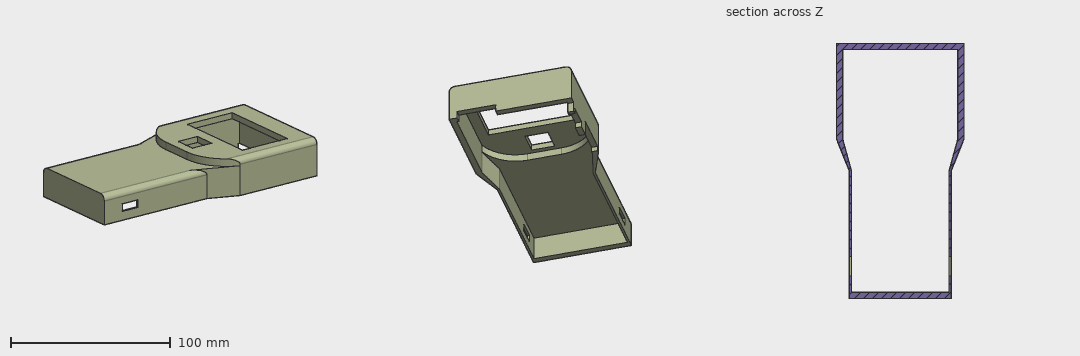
import cadquery as cq
import math

LENGTH = 160.0
HEAD_HALF_WIDTH = 40.0
HANDLE_HALF_WIDTH = 32.0
HEAD_HEIGHT = 25.0
HANDLE_HEIGHT = 20.0
EDGE_RADIUS = 4.0

HEAD_START_Y = 100.0
NECK_Y = 80.0
TAPER_SLOPE = (HEAD_HALF_WIDTH - HANDLE_HALF_WIDTH) / (HEAD_START_Y - NECK_Y)
NECK_END_HALF_WIDTH = HANDLE_HALF_WIDTH - EDGE_RADIUS
NECK_END_Y = NECK_Y - EDGE_RADIUS / TAPER_SLOPE

NOSE_HALF_WIDTH = 11.2
NOSE_DEPTH = HEAD_START_Y - NECK_Y
ARC_SPAN = HEAD_HALF_WIDTH - NOSE_HALF_WIDTH
ARC_RADIUS = (ARC_SPAN**2 + NOSE_DEPTH**2) / (2 * NOSE_DEPTH)
ARC_CENTER_Y = NECK_Y + ARC_RADIUS

WALL = 4.0
HANDLE_SIDE_WALL = 1.5

SCREEN_WIDTH = 58.0
SCREEN_LENGTH = 35.0
SCREEN_START_Y = 110.0
BUTTON_SIZE = 15.0
BUTTON_START_Y = 87.0

SLOT_START_Y = 14.3
SLOT_LENGTH = 12.0
SLOT_BOTTOM_Z = 6.0
SLOT_HEIGHT = 5.0

SIDE_NOTCH_START_Y = 102.0
SIDE_NOTCH_HEIGHT = 3.4
BACK_NOTCH_START_X = 9.5
BACK_NOTCH_WIDTH = 25.3
BACK_NOTCH_HEIGHT = 5.0

TAB_START_Y = 129.3
TAB_END_Y = 155.0
TAB_DROP = 6.8
TAB_RECESS_START_Y = 137.8
TAB_RECESS_END_Y = 152.5
TAB_RECESS_TOP_Z = -3.0


def box(x_range, y_range, z_range):
    """Axis-aligned block between the given limits."""
    size = [high - low for low, high in (x_range, y_range, z_range)]
    corner = (x_range[0], y_range[0], z_range[0])
    return cq.Workplane("XY").box(*size, centered=False).translate(corner)


def rounded_block(half_width, y_range, height):
    """Block centred on X whose two long top edges are rounded."""
    block = box((-half_width, half_width), y_range, (0, height))
    return block.faces(">Z").edges("|Y").fillet(EDGE_RADIUS)


def nosed_prism(half_width, end_y, arc_radius, z_range):
    """Prism with straight flanks and a front nose made of two arcs and a flat."""
    span = half_width - NOSE_HALF_WIDTH
    flank_y = ARC_CENTER_Y - math.sqrt(arc_radius**2 - span**2)
    nose_y = ARC_CENTER_Y - arc_radius
    mid_angle = math.asin(span / arc_radius) / 2
    mid_x = NOSE_HALF_WIDTH + arc_radius * math.sin(mid_angle)
    mid_y = ARC_CENTER_Y - arc_radius * math.cos(mid_angle)
    outline = (
        cq.Workplane("XY", origin=(0, 0, z_range[0]))
        .moveTo(-half_width, end_y)
        .lineTo(-half_width, flank_y)
        .threePointArc((-mid_x, mid_y), (-NOSE_HALF_WIDTH, nose_y))
        .lineTo(NOSE_HALF_WIDTH, nose_y)
        .threePointArc((mid_x, mid_y), (half_width, flank_y))
        .lineTo(half_width, end_y)
        .close()
    )
    return outline.extrude(z_range[1] - z_range[0])


def tapered_prism(start, end, height):
    """Prism from Z = 0 whose half width changes linearly between two (half width, Y) stations."""
    corners = [(-start[0], start[1]), start, end, (-end[0], end[1])]
    return cq.Workplane("XY").polyline(corners).close().extrude(height)


def outer_body():
    head_x = (-HEAD_HALF_WIDTH, HEAD_HALF_WIDTH)
    head_base = box(head_x, (HEAD_START_Y, LENGTH), (0, HANDLE_HEIGHT))
    deck = nosed_prism(HEAD_HALF_WIDTH, LENGTH, ARC_RADIUS, (HANDLE_HEIGHT, HEAD_HEIGHT))
    deck = deck.intersect(rounded_block(HEAD_HALF_WIDTH, (NECK_Y, LENGTH), HEAD_HEIGHT))
    neck = tapered_prism(
        (NECK_END_HALF_WIDTH, NECK_END_Y),
        (HEAD_HALF_WIDTH, HEAD_START_Y),
        HANDLE_HEIGHT,
    )
    handle = rounded_block(HANDLE_HALF_WIDTH, (0, NECK_Y), HANDLE_HEIGHT)
    return handle.union(neck).union(head_base).union(deck)


def cavity():
    """Hollow interior, open at the rim and following the outer outline."""
    head_half = HEAD_HALF_WIDTH - WALL
    handle_half = HANDLE_HALF_WIDTH - HANDLE_SIDE_WALL
    back_y = LENGTH - WALL
    handle_top = HANDLE_HEIGHT - WALL
    head_top = HEAD_HEIGHT - WALL
    handle = box((-handle_half, handle_half), (WALL, NECK_Y), (0, handle_top))
    neck = tapered_prism((handle_half, NECK_Y), (head_half, HEAD_START_Y), handle_top)
    head = box((-head_half, head_half), (HEAD_START_Y, back_y), (0, handle_top))
    under_deck = nosed_prism(head_half, back_y, ARC_RADIUS - WALL, (handle_top, head_top))
    return handle.union(neck).union(head).union(under_deck)


def deck_opening(width, start_y, length):
    return box((-width / 2, width / 2), (start_y, start_y + length), (0, HEAD_HEIGHT))


def handle_slot():
    return box(
        (-HANDLE_HALF_WIDTH, HANDLE_HALF_WIDTH),
        (SLOT_START_Y, SLOT_START_Y + SLOT_LENGTH),
        (SLOT_BOTTOM_Z, SLOT_BOTTOM_Z + SLOT_HEIGHT),
    )


def side_notch():
    return box(
        (-HEAD_HALF_WIDTH, WALL - HEAD_HALF_WIDTH),
        (SIDE_NOTCH_START_Y, TAB_START_Y),
        (0, SIDE_NOTCH_HEIGHT),
    )


def back_notch():
    return box(
        (BACK_NOTCH_START_X, BACK_NOTCH_START_X + BACK_NOTCH_WIDTH),
        (LENGTH - WALL, LENGTH),
        (0, BACK_NOTCH_HEIGHT),
    )


def tab():
    tab_x = (-HEAD_HALF_WIDTH, WALL - HEAD_HALF_WIDTH)
    plate = box(tab_x, (TAB_START_Y, TAB_END_Y), (-TAB_DROP, 0))
    recess = box(tab_x, (TAB_RECESS_START_Y, TAB_RECESS_END_Y), (-TAB_DROP, TAB_RECESS_TOP_Z))
    return plate.cut(recess)


shell = outer_body().cut(cavity())
shell = shell.cut(deck_opening(SCREEN_WIDTH, SCREEN_START_Y, SCREEN_LENGTH))
shell = shell.cut(deck_opening(BUTTON_SIZE, BUTTON_START_Y, BUTTON_SIZE))
shell = shell.cut(handle_slot()).cut(side_notch()).cut(back_notch())
result = shell.union(tab())